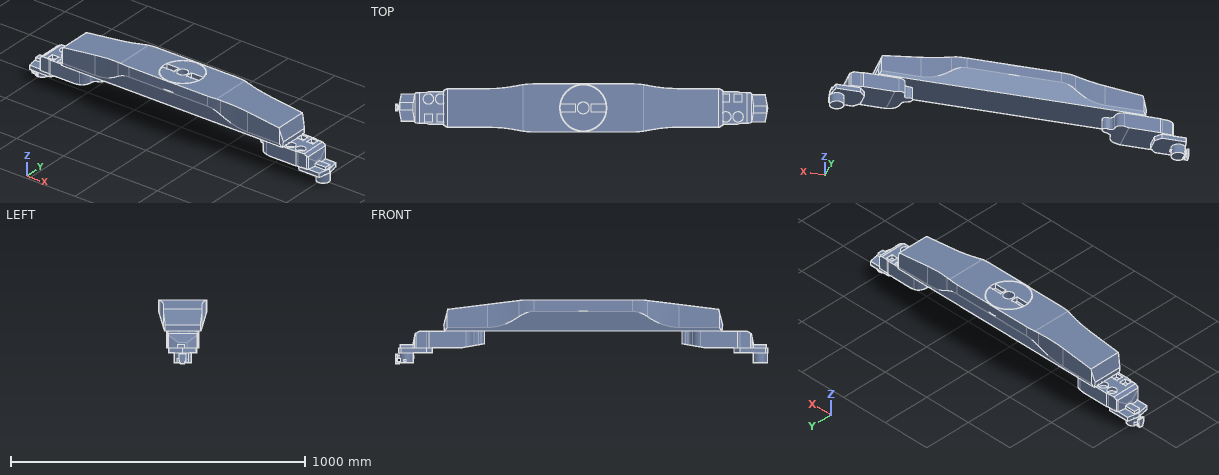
import cadquery as cq
import math


HOUSING_TOP = 106.0
HOUSING_WIDE_HALF = 82.0
HOUSING_NARROW_HALF = 66.0
WIDE_HALF_LENGTH = 167.0
NARROW_START = 325.0
SIDE_BEND = 219.0
CREASE_X = 205.0
END_TOP_X = 461.0
END_TOP_Z = 75.0
END_WAIST_X = 475.0
END_WAIST_Z = 22.0
END_FOOT_X = 472.0
CORNER_START_X = 463.0
CORNER_END_HALF = 60.0
TAPER_TOP_Z = 67.0
FOOT_HALF = 62.0

DISC_RADIUS = 78.0
DISC_GAP = 1.9
DISC_THICKNESS = 38.0
DISC_HOLE_DIAMETER = 40.0
SLOT_INNER_X = 27.0
SLOT_WIDTH = 27.0
SLOT_DEPTH = 19.0

BLOCK_BOTTOM = -57.0
BLOCK_HALF = 56.0
SHOULDER_X = -525.0
SHOULDER_NECK_X = -533.0
NECK_HALF = 53.0
BLOCK_TIP_X = -579.0
BLOCK_TIP_HALF = 14.0
BLOCK_CORNER_X = -574.0
BLOCK_CORNER_HALF = 48.0
CORNER_BEVEL_X = -568.0
CORNER_BEVEL_HALF = 52.0
BROW_TOP_X = -557.0
BROW_X = -572.0
BROW_Z = -8.2
LEAN_END_Z = -39.0
HIP_X = -399.0
HIP_RADIUS = 28.0
HIP_HOLLOW_RADIUS = 15.0
NOSE_TIP_X = -335.0
BELLY_X = -414.0
NOSE_BOTTOM = -43.0

RECESS_X = -527.0
RECESS_PITCH = 42.0
RECESS_DEPTH = 15.0
ROUND_RECESS_DIAMETER = 35.0
ROUND_RECESS_Y = 30.0
SQUARE_RECESS_SIDE = 27.0
SQUARE_RECESS_Y = -34.0

ARM_Y = 1.0
PLATE_THICKNESS = 16.0
PLATE_HALF = 47.0
PLATE_TIP_X = -628.0
PLATE_CORNER_X = -619.0
PLATE_BEVEL_X = -533.0
PLATE_INNER_X = -513.0
PLATE_INNER_HALF = 25.0
RIB_OUTER_X = -623.0
RIB_WIDTH = 24.0
RIB_Y = 5.7
RIB_TOP = -45.0
STUD_DIAMETER = 50.0
STUD_X = -603.0
STUD_Y = 4.4
STUD_BOTTOM = -108.0

STUD_NOTCH_X = -622.0
STUD_NOTCH_TOP = -92.0
SIDE_HOLE_DIAMETER = 8.5
SIDE_HOLE_X = -606.0
SIDE_HOLE_Z = -100.0
SIDE_HOLE_FLOOR_Y = -8.0

LATCH_OUTER_X = -638.0
LATCH_BOTTOM = -111.0
LATCH_TOP = -77.0
LATCH_THICKNESS = 6.0
LATCH_WIDTH = 24.0
LATCH_FOOT_WIDTH = 14.0
LATCH_FOOT_X = -625.0
LATCH_FOOT_HEIGHT = 8.0
LATCH_HIP_Z = -95.0
SHAFT_DIAMETER = 9.5
SHAFT_Z = -87.0
SHAFT_END_X = -575.0

PLATE_BOTTOM = BLOCK_BOTTOM - PLATE_THICKNESS


def box(x_range, y_range, z_range):
    """Axis-aligned box between pairs of limits."""
    (x0, x1), (y0, y1), (z0, z1) = x_range, y_range, z_range
    return cq.Workplane("XY").box(x1 - x0, y1 - y0, z1 - z0, centered=False).translate((x0, y0, z0))


def mirrored_outline(half_points):
    """Closed outline from points on the +Y side, in order along X, plus their mirror images."""
    return half_points + [(x, -y) for x, y in reversed(half_points)]


def side_prism(profile, half_width):
    """Extrude an XZ profile evenly to both sides of the XZ plane."""
    return cq.Workplane("XZ").polyline(profile).close().extrude(half_width, both=True)


def half_turn(body):
    return body.rotate((0, 0, 0), (0, 0, 1), 180)


def disc_slots():
    """Two slots in line across the disc, each from near its hole out to its edge."""
    right_slot = box((SLOT_INNER_X, DISC_RADIUS), (-SLOT_WIDTH / 2, SLOT_WIDTH / 2),
                     (HOUSING_TOP - SLOT_DEPTH, HOUSING_TOP))
    return right_slot.union(half_turn(right_slot))


def disc_cylinder(radius):
    return (cq.Workplane("XY").workplane(offset=HOUSING_TOP - DISC_THICKNESS)
            .circle(radius).extrude(DISC_THICKNESS))


def housing_quarter():
    """Plan shape of one quarter of the housing; two tangent arcs form the S-shaped side."""
    drop = HOUSING_WIDE_HALF - HOUSING_NARROW_HALF
    length = NARROW_START - WIDE_HALF_LENGTH
    turn = 2 * math.atan(drop / length)
    outer_radius = (SIDE_BEND - WIDE_HALF_LENGTH) / math.sin(turn)
    inner_radius = (NARROW_START - SIDE_BEND) / math.sin(turn)
    outer_sag = outer_radius * (1 - math.cos(turn / 2))
    inner_sag = inner_radius * (1 - math.cos(turn / 2))
    bend_y = HOUSING_WIDE_HALF - outer_radius * (1 - math.cos(turn))
    outer_mid = (WIDE_HALF_LENGTH + outer_radius * math.sin(turn / 2), HOUSING_WIDE_HALF - outer_sag)
    inner_mid = (NARROW_START - inner_radius * math.sin(turn / 2), HOUSING_NARROW_HALF + inner_sag)
    return (cq.Workplane("XY").moveTo(0, 0).lineTo(0, HOUSING_WIDE_HALF)
            .lineTo(WIDE_HALF_LENGTH, HOUSING_WIDE_HALF)
            .threePointArc(outer_mid, (SIDE_BEND, bend_y))
            .threePointArc(inner_mid, (NARROW_START, HOUSING_NARROW_HALF))
            .lineTo(CORNER_START_X, HOUSING_NARROW_HALF)
            .lineTo(END_WAIST_X, CORNER_END_HALF).lineTo(END_WAIST_X, 0).close()
            .extrude(HOUSING_TOP))


def make_housing():
    quarter = housing_quarter()
    half = quarter.union(quarter.mirror("XZ"))
    plan = half.union(half.mirror("YZ")).clean()
    right_edge = [(END_FOOT_X, 0), (END_WAIST_X, END_WAIST_Z), (END_TOP_X, END_TOP_Z),
                  (CREASE_X, HOUSING_TOP)]
    left_edge = [(-x, z) for x, z in reversed(right_edge)]
    side = side_prism(right_edge + left_edge, HOUSING_WIDE_HALF)
    right_flank = [(FOOT_HALF, 0), (HOUSING_WIDE_HALF, TAPER_TOP_Z), (HOUSING_WIDE_HALF, HOUSING_TOP)]
    left_flank = [(-y, z) for y, z in reversed(right_flank)]
    cross_section = (cq.Workplane("YZ").polyline(right_flank + left_flank).close()
                     .extrude(END_WAIST_X, both=True))
    return plan.intersect(side).intersect(cross_section).cut(disc_cylinder(DISC_RADIUS + DISC_GAP))


def make_disc():
    disc = disc_cylinder(DISC_RADIUS)
    return disc.faces(">Z").workplane().hole(DISC_HOLE_DIAMETER).cut(disc_slots())


def block_plan():
    """Plan shape of an arm block: shallow pointed outer end, rounded hips and a round nose."""
    diagonal = math.sqrt(0.5)
    hip_end = (HIP_X + HIP_RADIUS, BLOCK_HALF - HIP_RADIUS)
    hip_mid = (HIP_X + HIP_RADIUS * diagonal, hip_end[1] + HIP_RADIUS * diagonal)
    nose_half = hip_end[1] - HIP_HOLLOW_RADIUS
    hollow_end = (hip_end[0] + HIP_HOLLOW_RADIUS, nose_half)
    hollow_mid = (hollow_end[0] - HIP_HOLLOW_RADIUS * diagonal,
                  hip_end[1] - HIP_HOLLOW_RADIUS * diagonal)
    nose_start_x = NOSE_TIP_X - nose_half
    outer_end = [(SHOULDER_X, BLOCK_HALF), (SHOULDER_NECK_X, NECK_HALF), (CORNER_BEVEL_X, CORNER_BEVEL_HALF),
                 (BLOCK_CORNER_X, BLOCK_CORNER_HALF), (BLOCK_TIP_X, BLOCK_TIP_HALF)]
    return (cq.Workplane("XY").polyline(mirrored_outline(outer_end))
            .lineTo(HIP_X, -BLOCK_HALF)
            .threePointArc((hip_mid[0], -hip_mid[1]), (hip_end[0], -hip_end[1]))
            .threePointArc((hollow_mid[0], -hollow_mid[1]), (hollow_end[0], -nose_half))
            .lineTo(nose_start_x, -nose_half)
            .threePointArc((NOSE_TIP_X, 0), (nose_start_x, nose_half))
            .lineTo(*hollow_end)
            .threePointArc(hollow_mid, hip_end)
            .threePointArc(hip_mid, (HIP_X, BLOCK_HALF))
            .close().extrude(BLOCK_BOTTOM))


def block_recesses():
    """Two round and two square recesses in the block top."""
    recess_xs = [RECESS_X, RECESS_X + RECESS_PITCH]
    rounds = (cq.Workplane("XY").pushPoints([(x, ROUND_RECESS_Y) for x in recess_xs])
              .circle(ROUND_RECESS_DIAMETER / 2).extrude(-RECESS_DEPTH))
    squares = (cq.Workplane("XY").pushPoints([(x, SQUARE_RECESS_Y) for x in recess_xs])
               .rect(SQUARE_RECESS_SIDE, SQUARE_RECESS_SIDE).extrude(-RECESS_DEPTH))
    return rounds.union(squares)


def make_block():
    side = side_prism([(BROW_TOP_X, 0), (BROW_X, BROW_Z), (BLOCK_TIP_X, LEAN_END_Z),
                       (BLOCK_TIP_X, BLOCK_BOTTOM), (BELLY_X, BLOCK_BOTTOM),
                       (NOSE_TIP_X, NOSE_BOTTOM), (NOSE_TIP_X, 0)], BLOCK_HALF)
    return block_plan().intersect(side).cut(block_recesses())


def make_plate():
    """Foot plate with pointed outer end, bevelled inner end and a rib up to the block."""
    upper_half = [(PLATE_CORNER_X, PLATE_HALF), (PLATE_BEVEL_X, PLATE_HALF),
                  (PLATE_INNER_X, PLATE_INNER_HALF)]
    plate = (cq.Workplane("XY").workplane(offset=PLATE_BOTTOM)
             .polyline([(PLATE_TIP_X, 0)] + mirrored_outline(upper_half)).close()
             .extrude(PLATE_THICKNESS).translate((0, ARM_Y, 0)))
    rib = box((RIB_OUTER_X, BLOCK_TIP_X), (RIB_Y - RIB_WIDTH / 2, RIB_Y + RIB_WIDTH / 2),
              (BLOCK_BOTTOM, RIB_TOP))
    return plate.union(rib)


def make_stud():
    return (cq.Workplane("XY").workplane(offset=STUD_BOTTOM).center(STUD_X, STUD_Y)
            .circle(STUD_DIAMETER / 2).extrude(PLATE_BOTTOM - STUD_BOTTOM))


def make_latched_stud(latch_body):
    """Left stud: bored for the latch shaft, notched for the latch foot and drilled in one side."""
    stud = make_stud()
    reach = STUD_DIAMETER
    notch = box((STUD_X - reach, STUD_NOTCH_X), (STUD_Y - reach, STUD_Y + reach),
                (STUD_BOTTOM, STUD_NOTCH_TOP))
    side_hole = (cq.Workplane("XZ").workplane(offset=-SIDE_HOLE_FLOOR_Y).center(SIDE_HOLE_X, SIDE_HOLE_Z)
                 .circle(SIDE_HOLE_DIAMETER / 2).extrude(reach))
    return stud.cut(notch).cut(side_hole).cut(latch_body)


def latch_shaft():
    """Shaft along X that passes right through the left stud."""
    return (cq.Workplane("YZ").workplane(offset=LATCH_OUTER_X).center(ARM_Y, SHAFT_Z)
            .circle(SHAFT_DIAMETER / 2).extrude(SHAFT_END_X - LATCH_OUTER_X))


def make_latch():
    """Upright tapered tongue with a short hooked foot, carried on the shaft."""
    tongue_half = [(LATCH_WIDTH / 2, LATCH_TOP), (LATCH_WIDTH / 2, LATCH_HIP_Z),
                   (LATCH_FOOT_WIDTH / 2, LATCH_BOTTOM)]
    mirrored_half = [(-y, z) for y, z in reversed(tongue_half)]
    tongue = (cq.Workplane("YZ").workplane(offset=LATCH_OUTER_X)
              .polyline(tongue_half + mirrored_half).close()
              .extrude(LATCH_THICKNESS).translate((0, ARM_Y, 0)))
    foot = box((LATCH_OUTER_X, LATCH_FOOT_X),
               (ARM_Y - LATCH_FOOT_WIDTH / 2, ARM_Y + LATCH_FOOT_WIDTH / 2),
               (LATCH_BOTTOM, LATCH_BOTTOM + LATCH_FOOT_HEIGHT))
    return tongue.union(foot).union(latch_shaft())


housing = make_housing()
disc = make_disc()
blocks = [make_block(), half_turn(make_block())]
plates = [make_plate(), half_turn(make_plate())]
latch = make_latch()
studs = [make_latched_stud(latch), half_turn(make_stud())]

bodies = [housing, disc, *blocks, *plates, *studs, latch]
result = cq.Compound.makeCompound([body.solids().val() for body in bodies])